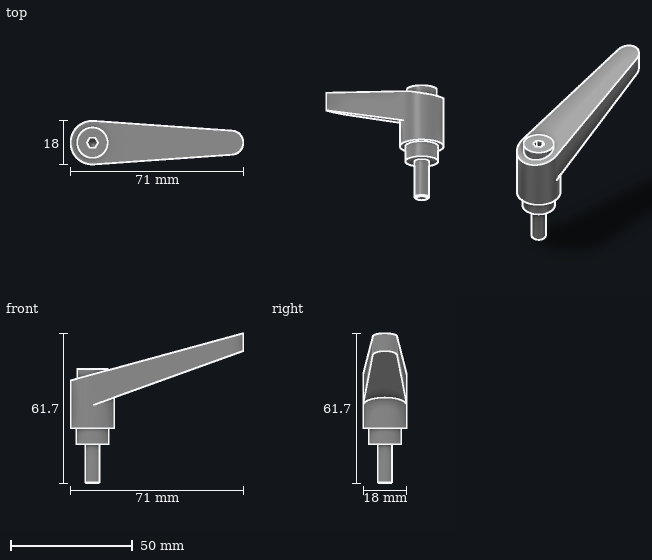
import cadquery as cq
import math

HUB_RADIUS = 9.0
TIP_RADIUS = 5.0
TIP_CENTRE_X = 57.0
TIP_END_X = TIP_CENTRE_X + TIP_RADIUS
COLLAR_DIAMETER = 13.5
COLLAR_HEIGHT = 6.5
STUD_DIAMETER = 6.0
STUD_LENGTH = 16.0
STUD_CHAMFER = 0.5
HEAD_DIAMETER = 12.5
HEAD_TOP_Z = 31.0
SOCKET_ACROSS_FLATS = 4.0
SOCKET_DEPTH = 4.0
SOCKET_CONE_ANGLE = 120.0

TIP_TOP_Z = 45.66
TIP_BOTTOM_Z = 38.3
TOP_ANGLE = 15.3
UNDERSIDE_ANGLE = 19.8


def top_z(x):
    """Height of the sloping top face at x."""
    return TIP_TOP_Z - (TIP_END_X - x) * math.tan(math.radians(TOP_ANGLE))


def underside_z(x):
    """Height of the sloping underside of the lever at x."""
    return TIP_BOTTOM_Z - (TIP_END_X - x) * math.tan(math.radians(UNDERSIDE_ANGLE))


def side_profile(points):
    """Prism across the full hub width with the given XZ outline."""
    return cq.Workplane("XZ").polyline(points).close().extrude(HUB_RADIUS, both=True)


def make_lever():
    """Arm with tangent sides between the hub and tip rounds, trimmed to a tapering wedge."""
    lean_sin = (HUB_RADIUS - TIP_RADIUS) / TIP_CENTRE_X
    lean_cos = math.sqrt(1 - lean_sin**2)
    hub_x, hub_y = HUB_RADIUS * lean_sin, HUB_RADIUS * lean_cos
    tip_x, tip_y = TIP_CENTRE_X + TIP_RADIUS * lean_sin, TIP_RADIUS * lean_cos
    plan = (
        cq.Workplane("XY")
        .moveTo(hub_x, -hub_y)
        .lineTo(tip_x, -tip_y)
        .threePointArc((TIP_END_X, 0), (tip_x, tip_y))
        .lineTo(hub_x, hub_y)
        .close()
        .extrude(TIP_TOP_Z)
    )
    wedge = side_profile([
        (hub_x, underside_z(hub_x)),
        (TIP_END_X, TIP_BOTTOM_Z),
        (TIP_END_X, TIP_TOP_Z),
        (hub_x, top_z(hub_x)),
    ])
    return plan.intersect(wedge)


def make_hub():
    """Cylinder above the collar, cut off along the sloping top face."""
    cylinder = (
        cq.Workplane("XY", origin=(0, 0, COLLAR_HEIGHT))
        .circle(HUB_RADIUS)
        .extrude(TIP_TOP_Z - COLLAR_HEIGHT)
    )
    below_top = side_profile([
        (-HUB_RADIUS, COLLAR_HEIGHT),
        (HUB_RADIUS, COLLAR_HEIGHT),
        (HUB_RADIUS, top_z(HUB_RADIUS)),
        (-HUB_RADIUS, top_z(-HUB_RADIUS)),
    ])
    return cylinder.intersect(below_top)


def make_insert():
    """Threaded stud, collar and screw head on the hub axis."""
    stud = (
        cq.Workplane("XY")
        .circle(STUD_DIAMETER / 2)
        .extrude(-STUD_LENGTH)
        .faces("<Z")
        .chamfer(STUD_CHAMFER)
    )
    collar = cq.Workplane("XY").circle(COLLAR_DIAMETER / 2).extrude(COLLAR_HEIGHT)
    head = (
        cq.Workplane("XY", origin=(0, 0, COLLAR_HEIGHT))
        .circle(HEAD_DIAMETER / 2)
        .extrude(HEAD_TOP_Z - COLLAR_HEIGHT)
    )
    return collar.union(stud).union(head)


def make_socket():
    """Hexagon socket with corners along X, ending in a conical bottom."""
    corner_radius = SOCKET_ACROSS_FLATS / 2 / math.cos(math.radians(30))
    cone_depth = corner_radius / math.tan(math.radians(SOCKET_CONE_ANGLE / 2))
    total_depth = SOCKET_DEPTH + cone_depth
    hexagon = (
        cq.Workplane("XY", origin=(0, 0, HEAD_TOP_Z))
        .polygon(6, 2 * corner_radius)
        .extrude(-total_depth)
    )
    pointed_bore = (
        cq.Workplane("XZ")
        .moveTo(0, HEAD_TOP_Z - total_depth)
        .lineTo(corner_radius, HEAD_TOP_Z - SOCKET_DEPTH)
        .lineTo(corner_radius, HEAD_TOP_Z)
        .lineTo(0, HEAD_TOP_Z)
        .close()
        .revolve(360, (0, 0, 0), (0, 1, 0))
    )
    return hexagon.intersect(pointed_bore)


result = make_hub().union(make_lever()).union(make_insert()).cut(make_socket())